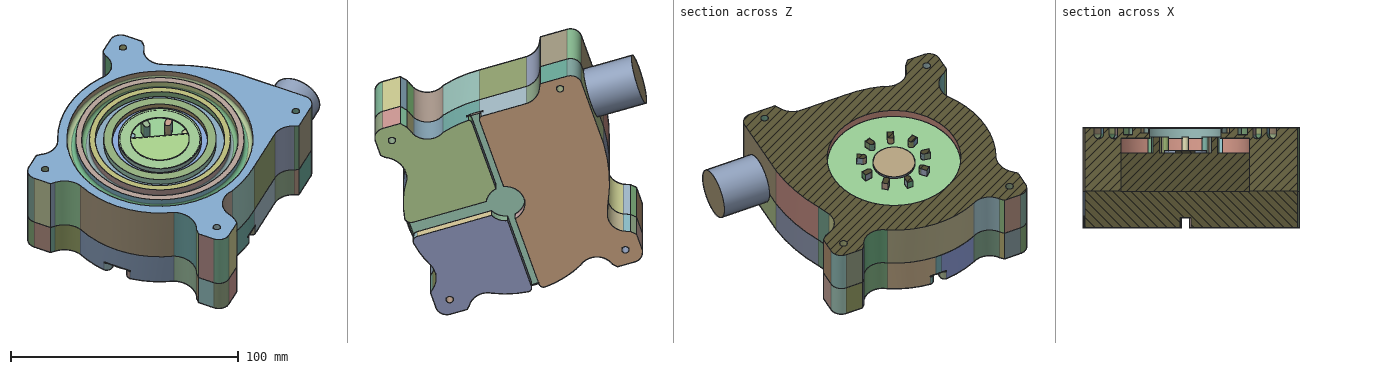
import cadquery as cq
import math

OVERALL_LENGTH = 117.0
TOTAL_HEIGHT = 44.0
PARTING_HEIGHT = 16.0

BODY_RADIUS = 44.9
LEFT_X = -BODY_RADIUS
BOTTOM_Y = -BODY_RADIUS
RIGHT_X = 52.1
TOP_Y = 50.1
RIGHT_WALL_X = 44.6
EAR_FILLET = 5.0

SCREW_HOLE_DIAMETER = 3.2
SCREW_HOLE_CENTERS = [(-37.9, -37.9), (45.2, -37.9), (-37.9, 43.0), (47.0, 40.2)]

ROUND_GROOVES = [(61.9, 64.8, 68.7), (73.8, 77.7, 81.7)]
ROUND_GROOVE_DEPTH = 4.8

FLAT_GROOVES = [(36.4, 41.9, 2.3), (49.4, 56.7, 3.0)]

OPENING_DIAMETER = 25.7
ROOF_THICKNESS = 0.5
WELL_DIAMETER = 35.1
CHAMBER_DIAMETER = 58.5
CHAMBER_DEPTH = 4.7

COVER_EDGE_ANGLE = 31.5
COVER_EDGE_OFFSET = 1.8

TOOTH_COUNT = 9
TOOTH_TOP_DEPTH = 4.1
TOOTH_HEIGHT = 7.0
TOOTH_WIDTH = 2.8
TOOTH_TIP_RADIUS = 12.2
TOOTH_START_ANGLE = 20.0
TOOTH_ROOT_RADIUS = 16.4

ROTOR_DIAMETER = 18.5
ROTOR_HEIGHT = 1.0

PIPE_DIAMETER = 22.0
PIPE_X = 32.9
PIPE_END_Y = OVERALL_LENGTH + BOTTOM_Y
PIPE_SOCKET_DEPTH = 11.7

CHANNEL_HEIGHT = 4.5
MOUTH_LIP = 0.7
HUB_RECESS_DIAMETER = 17.0
SIDE_CHANNEL_WIDTH = 3.5
SIDE_MOUTH_RADIUS = 2.1
FRONT_CHANNEL_WIDTH = 7.3
FRONT_MOUTH_RADIUS = 2.7

FLAT_WIDTH = 2.8

CLEARANCE = 1.2

FLOOR_HEIGHT = TOTAL_HEIGHT - TOOTH_TOP_DEPTH - TOOTH_HEIGHT


def on_body_circle(x=None, y=None):
    """Point of the main round wall, on the left for a given y, on the front for a given x."""
    if x is None:
        return (-math.sqrt(BODY_RADIUS**2 - y**2), y)
    return (x, -math.sqrt(BODY_RADIUS**2 - x**2))


def housing_block(base_height, height):
    """Prism of the volute outline with four mounting ears, drawn clockwise from the left wall."""
    block = (
        cq.Workplane("XY", origin=(0, 0, base_height))
        .moveTo(LEFT_X, 0)
        .threePointArc(on_body_circle(y=11.7), on_body_circle(y=22.1))
        .threePointArc((-37.1, 27.6), (-43.0, 35.5))
        .lineTo(LEFT_X, 37.2)
        .lineTo(LEFT_X, TOP_Y)
        .lineTo(-32.0, TOP_Y)
        .lineTo(-30.0, 48.0)
        .lineTo(-28.8, 45.0)
        .threePointArc((-23.6, 40.8), (-19.0, 40.8))
        .lineTo(-12.9, 43.2)
        .threePointArc((0.0, 47.7), (15.2, TOP_Y))
        .lineTo(RIGHT_X, TOP_Y)
        .lineTo(RIGHT_X, 32.8)
        .lineTo(50.3, 31.8)
        .threePointArc((46.2, 28.7), (RIGHT_WALL_X, 24.0))
        .lineTo(RIGHT_WALL_X, 2.3)
        .threePointArc((43.8, -8.5), (42.1, -15.2))
        .threePointArc((40.6, -20.5), (44.9, -27.8))
        .lineTo(49.4, -29.6)
        .lineTo(RIGHT_X, -31.8)
        .lineTo(RIGHT_X, BOTTOM_Y)
        .lineTo(39.5, BOTTOM_Y)
        .lineTo(37.9, -43.2)
        .threePointArc((30.4, -37.2), on_body_circle(x=24.5))
        .threePointArc((0, BOTTOM_Y), on_body_circle(x=-19.7))
        .threePointArc((-23.6, -39.9), (-30.5, -43.3))
        .lineTo(-32.0, BOTTOM_Y)
        .lineTo(LEFT_X, BOTTOM_Y)
        .lineTo(LEFT_X, -32.0)
        .lineTo(-43.3, -30.5)
        .threePointArc((-39.4, -23.6), on_body_circle(y=-19.3))
        .threePointArc(on_body_circle(y=-9.4), (LEFT_X, 0))
        .close()
        .extrude(height)
    )
    for x in (LEFT_X, RIGHT_X):
        for y in (BOTTOM_Y, TOP_Y):
            corner = cq.selectors.BoxSelector(
                (x - CLEARANCE, y - CLEARANCE, -CLEARANCE),
                (x + CLEARANCE, y + CLEARANCE, TOTAL_HEIGHT + CLEARANCE),
            )
            block = block.edges(corner).edges("|Z").fillet(EAR_FILLET)
    holes = (
        cq.Workplane("XY", origin=(0, 0, base_height))
        .pushPoints(SCREW_HOLE_CENTERS)
        .circle(SCREW_HOLE_DIAMETER / 2)
        .extrude(height)
    )
    return block.cut(holes)


def make_pipe():
    socket_y = TOP_Y - PIPE_SOCKET_DEPTH
    return (
        cq.Workplane("XZ", origin=(PIPE_X, socket_y, PARTING_HEIGHT))
        .circle(PIPE_DIAMETER / 2)
        .extrude(socket_y - PIPE_END_Y)
    )


def flat_groove(inner_diameter, outer_diameter, depth):
    return (
        cq.Workplane("XY", origin=(0, 0, TOTAL_HEIGHT))
        .circle(outer_diameter / 2)
        .circle(inner_diameter / 2)
        .extrude(-depth)
    )


def round_groove(inner_diameter, deepest_diameter, outer_diameter):
    """Straight-walled groove whose two quarter-round sides meet at the deepest circle."""
    inner = inner_diameter / 2
    deepest = deepest_diameter / 2
    outer = outer_diameter / 2
    inner_round = deepest - inner
    outer_round = outer - deepest
    bottom = TOTAL_HEIGHT - ROUND_GROOVE_DEPTH
    inset = 1 - math.sqrt(0.5)
    inner_middle = (inner + inset * inner_round, bottom + inset * inner_round)
    outer_middle = (outer - inset * outer_round, bottom + inset * outer_round)
    return (
        cq.Workplane("XZ")
        .moveTo(inner, TOTAL_HEIGHT)
        .lineTo(inner, bottom + inner_round)
        .threePointArc(inner_middle, (deepest, bottom))
        .threePointArc(outer_middle, (outer, bottom + outer_round))
        .lineTo(outer, TOTAL_HEIGHT)
        .close()
        .revolve(360, (0, 0, 0), (0, 1, 0))
    )


def column_from_parting(diameter, top_height):
    """Cylinder on the rotor axis that rises from the parting plane."""
    return (
        cq.Workplane("XY", origin=(0, 0, PARTING_HEIGHT))
        .circle(diameter / 2)
        .extrude(top_height - PARTING_HEIGHT)
    )


def make_upper_housing(pipe):
    upper = housing_block(PARTING_HEIGHT, TOTAL_HEIGHT - PARTING_HEIGHT)
    for groove in FLAT_GROOVES:
        upper = upper.cut(flat_groove(*groove))
    for groove in ROUND_GROOVES:
        upper = upper.cut(round_groove(*groove))
    well = column_from_parting(WELL_DIAMETER, TOTAL_HEIGHT - ROOF_THICKNESS)
    chamber = column_from_parting(CHAMBER_DIAMETER, TOTAL_HEIGHT - CHAMBER_DEPTH)
    opening = cq.Workplane("XY").circle(OPENING_DIAMETER / 2).extrude(TOTAL_HEIGHT)
    return upper.cut(well).cut(chamber).cut(opening).cut(pipe)


def air_channel(width, mouth_radius, angle):
    """Channel from the axis out through the round wall, with rounded sides and a bevel at its mouth.

    Drawn toward -X and then turned counterclockwise by the angle."""
    half = width / 2
    mouth_half = half + mouth_radius
    mouth_x = on_body_circle(y=mouth_half)[0]
    throat_x = mouth_x + mouth_radius
    outside_x = LEFT_X - CLEARANCE
    diagonal = mouth_radius * math.sqrt(0.5)
    channel = (
        cq.Workplane("XY")
        .moveTo(0, half)
        .lineTo(throat_x, half)
        .threePointArc((throat_x - diagonal, mouth_half - diagonal), (mouth_x, mouth_half))
        .lineTo(outside_x, mouth_half)
        .lineTo(outside_x, -mouth_half)
        .lineTo(mouth_x, -mouth_half)
        .threePointArc((throat_x - diagonal, diagonal - mouth_half), (throat_x, -half))
        .lineTo(0, -half)
        .close()
        .extrude(CHANNEL_HEIGHT)
    )
    bevel = (
        cq.Workplane("XZ", origin=(0, mouth_half, 0))
        .moveTo(mouth_x + MOUTH_LIP, CHANNEL_HEIGHT)
        .lineTo(mouth_x, CHANNEL_HEIGHT + MOUTH_LIP)
        .lineTo(outside_x, CHANNEL_HEIGHT + MOUTH_LIP)
        .lineTo(outside_x, CHANNEL_HEIGHT)
        .close()
        .extrude(2 * mouth_half)
    )
    return channel.union(bevel).rotate((0, 0, 0), (0, 0, 1), angle)


def make_lower_housing(pipe):
    lower = housing_block(0, PARTING_HEIGHT)
    recess = cq.Workplane("XY").circle(HUB_RECESS_DIAMETER / 2).extrude(CHANNEL_HEIGHT)
    lower = lower.cut(recess)
    for angle in (0, 180):
        lower = lower.cut(air_channel(SIDE_CHANNEL_WIDTH, SIDE_MOUTH_RADIUS, angle))
    lower = lower.cut(air_channel(FRONT_CHANNEL_WIDTH, FRONT_MOUTH_RADIUS, 90))
    flat_x = on_body_circle(y=FLAT_WIDTH / 2)[0]
    beyond_flat = (
        cq.Workplane("XY", origin=(flat_x - CLEARANCE, 0, 0))
        .rect(2 * CLEARANCE, 2 * FLAT_WIDTH)
        .extrude(PARTING_HEIGHT)
    )
    return lower.cut(beyond_flat).cut(pipe)


def make_cover():
    """Part of a disc on one side of a straight edge, flush with the top face."""
    kept_side = (
        cq.Workplane("XY", origin=(0, 0, TOTAL_HEIGHT))
        .rect(2 * OPENING_DIAMETER, 2 * OPENING_DIAMETER)
        .extrude(-ROOF_THICKNESS)
        .translate((0, COVER_EDGE_OFFSET - OPENING_DIAMETER, 0))
        .rotate((0, 0, 0), (0, 0, 1), COVER_EDGE_ANGLE)
    )
    disc = (
        cq.Workplane("XY", origin=(0, 0, TOTAL_HEIGHT))
        .circle(OPENING_DIAMETER / 2)
        .extrude(-ROOF_THICKNESS)
    )
    return disc.intersect(kept_side)


def make_stator():
    stator = column_from_parting(CHAMBER_DIAMETER, FLOOR_HEIGHT)
    nose_x = TOOTH_TIP_RADIUS + TOOTH_WIDTH / 2
    tooth = (
        cq.Workplane("XY", origin=(0, 0, FLOOR_HEIGHT))
        .moveTo(TOOTH_ROOT_RADIUS, TOOTH_WIDTH / 2)
        .lineTo(nose_x, TOOTH_WIDTH / 2)
        .threePointArc((TOOTH_TIP_RADIUS, 0), (nose_x, -TOOTH_WIDTH / 2))
        .lineTo(TOOTH_ROOT_RADIUS, -TOOTH_WIDTH / 2)
        .close()
        .extrude(TOOTH_HEIGHT)
    )
    for index in range(TOOTH_COUNT):
        angle = TOOTH_START_ANGLE + index * 360 / TOOTH_COUNT
        stator = stator.union(tooth.rotate((0, 0, 0), (0, 0, 1), angle))
    return stator


def make_rotor():
    return (
        cq.Workplane("XY", origin=(0, 0, FLOOR_HEIGHT))
        .circle(ROTOR_DIAMETER / 2)
        .extrude(ROTOR_HEIGHT)
    )


pipe = make_pipe()
upper_housing = make_upper_housing(pipe)
lower_housing = make_lower_housing(pipe)
cover = make_cover()
stator = make_stator()
rotor = make_rotor()

result = cq.Compound.makeCompound(
    [upper_housing.val(), lower_housing.val(), pipe.val(), cover.val(), stator.val(), rotor.val()]
)